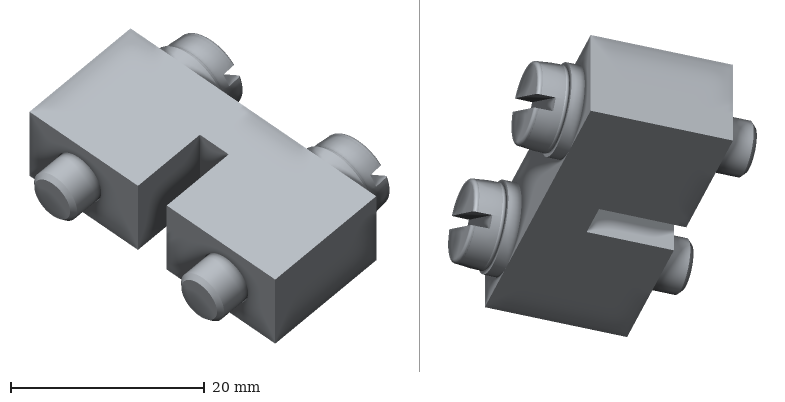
import cadquery as cq

BLOCK_WIDTH = 34.3
BLOCK_DEPTH = 15.5
BLOCK_HEIGHT = 10.0
NOTCH_WIDTH = 4.0
NOTCH_DEPTH = 9.5

SCREW_SPACING = 20.5
BORE_DIAMETER = 6.2
SHANK_DIAMETER = 6.0
SHANK_PROTRUSION = 4.08
SHANK_CHAMFER = 0.5

WASHER_DIAMETER = BLOCK_HEIGHT
WASHER_THICKNESS = 1.45

HEAD_HEIGHT = 3.45
HEAD_BASE_RADIUS = 4.4
HEAD_WIDEST_RADIUS = 4.65
HEAD_MIDDLE_RADIUS = 4.63
HEAD_SHOULDER_RADIUS = 4.5
HEAD_TOP_RADIUS = 4.1
HEAD_BASE_RIM = 0.48
HEAD_TOP_RIM = 0.48
RIM_BULGE = 0.1

DRIVE_WIDTH = 1.45
DRIVE_DEPTH = 2.0
DRIVE_ANGLE = 34.0

SCREW_POSITIONS = [-SCREW_SPACING / 2, SCREW_SPACING / 2]
WASHER_BACK = BLOCK_DEPTH + WASHER_THICKNESS
HEAD_BACK = WASHER_BACK + HEAD_HEIGHT


def y_cylinder(diameter, start, end):
    """Cylinder on the Y axis between two Y positions."""
    base = cq.Workplane("XZ", origin=(0, start, 0))
    return base.circle(diameter / 2).extrude(start - end)


def make_block():
    block = cq.Workplane("XY").box(
        BLOCK_WIDTH, BLOCK_DEPTH, BLOCK_HEIGHT, centered=(True, False, True)
    )
    notch = cq.Workplane("XY").box(
        NOTCH_WIDTH, NOTCH_DEPTH, BLOCK_HEIGHT, centered=(True, False, True)
    )
    block = block.cut(notch)
    for x in SCREW_POSITIONS:
        bore = y_cylinder(BORE_DIAMETER, 0, BLOCK_DEPTH)
        block = block.cut(bore.translate((x, 0, 0)))
    return block


def make_washer(x):
    washer = y_cylinder(WASHER_DIAMETER, BLOCK_DEPTH, WASHER_BACK)
    hole = y_cylinder(SHANK_DIAMETER, BLOCK_DEPTH, WASHER_BACK)
    return washer.cut(hole).translate((x, 0, 0))


def rim_middle(start, end, direction):
    """Point on a rim arc, just outside the middle of its chord."""
    radius = (start[0] + end[0]) / 2 + RIM_BULGE
    y = (start[1] + end[1]) / 2 + direction * RIM_BULGE
    return (radius, y)


def make_head():
    base = (HEAD_BASE_RADIUS, WASHER_BACK)
    widest = (HEAD_WIDEST_RADIUS, WASHER_BACK + HEAD_BASE_RIM)
    shoulder = (HEAD_SHOULDER_RADIUS, HEAD_BACK - HEAD_TOP_RIM)
    middle = (HEAD_MIDDLE_RADIUS, (widest[1] + shoulder[1]) / 2)
    top = (HEAD_TOP_RADIUS, HEAD_BACK)
    profile = (
        cq.Workplane("XY")
        .moveTo(0, WASHER_BACK)
        .lineTo(*base)
        .threePointArc(rim_middle(base, widest, -1), widest)
        .threePointArc(middle, shoulder)
        .threePointArc(rim_middle(shoulder, top, 1), top)
        .lineTo(0, HEAD_BACK)
        .close()
    )
    head = profile.revolve(360, (0, 0, 0), (0, 1, 0))
    drive_slot = (
        cq.Workplane("XY")
        .box(2 * HEAD_WIDEST_RADIUS, DRIVE_DEPTH, DRIVE_WIDTH)
        .translate((0, HEAD_BACK - DRIVE_DEPTH / 2, 0))
        .rotate((0, 0, 0), (0, 1, 0), -DRIVE_ANGLE)
    )
    return head.cut(drive_slot)


def make_screw(x):
    shank = y_cylinder(SHANK_DIAMETER, -SHANK_PROTRUSION, WASHER_BACK)
    shank = shank.faces("<Y").chamfer(SHANK_CHAMFER)
    return shank.union(make_head()).translate((x, 0, 0))


block = make_block()
washers = [make_washer(x) for x in SCREW_POSITIONS]
screws = [make_screw(x) for x in SCREW_POSITIONS]

result = cq.Compound.makeCompound(
    [block.val()]
    + [washer.val() for washer in washers]
    + [screw.val() for screw in screws]
)